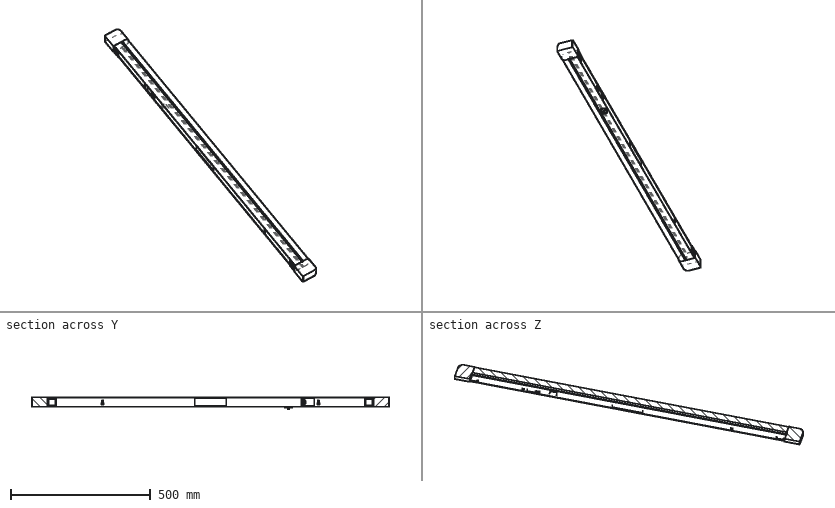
import cadquery as cq
import math

TOTAL_LENGTH = 1279.0
TOTAL_DEPTH = 67.0
TOTAL_HEIGHT = 42.0
BODY_HEIGHT = 35.0
TOP_Z = TOTAL_HEIGHT / 2
BOTTOM_Z = TOP_Z - BODY_HEIGHT
MID_Z = (TOP_Z + BOTTOM_Z) / 2
FRONT_Y = -TOTAL_DEPTH / 2
BACK_Y = TOTAL_DEPTH / 2

CAP_LENGTH = 56.0
CAP_ROUND = BODY_HEIGHT / 2
CAP_CORNER_RADIUS = 19.0
CAP_CHAMFER_X = 1.0
CAP_CHAMFER_Y = 4.0
CLIP_LENGTH = 31.0
CLIP_HEIGHT = 30.0
CLIP_RECESS = 0.6
CLIP_WINDOW_WIDTH = 23.0
CLIP_WINDOW_HEIGHT = 22.0

CAP_OVERHANG = 3.2
HOUSING_FRONT_Y = FRONT_Y + CAP_OVERHANG
HOUSING_BACK_Y = 1.9
HOUSING_WALL = 1.0
HOUSING_DEPTH = HOUSING_BACK_Y - HOUSING_FRONT_Y
HOUSING_MID_Y = (HOUSING_FRONT_Y + HOUSING_BACK_Y) / 2
SPAN = TOTAL_LENGTH - 2 * CAP_LENGTH

COVER_INSET = 1.5
COVER_ROUND = BODY_HEIGHT / 2
COVER_ROUND_Y = BACK_Y - COVER_INSET - COVER_ROUND
COVER_GROOVE = 4.0

KEYHOLE_X = 386.0
KEYHOLE_Z = -1.9
KEYHOLE_DIAMETER = 7.4
KEYHOLE_SLOT_WIDTH = 4.0
KEYHOLE_SLOT_TOP_Z = 9.6

ENTRY_X = -333.0
ENTRY_Z = 4.0
ENTRY_DIAMETER = 17.0
ENTRY_RIM_DIAMETER = 13.0
ENTRY_HOLE_DIAMETER = 6.5
ENTRY_FLANGE_HEIGHT = 1.0
ENTRY_HEIGHT = 3.2

SWITCH_X = -279.0
SWITCH_Y = -13.4
SWITCH_DIAMETER = 27.0
SWITCH_WIDTH = 18.0
SWITCH_FLANGE_HEIGHT = 4.0
NUB_DIAMETER = 6.0

PLATES = [(0.0, 113.0), (-348.0, 46.0)]
PLATE_HEIGHT = 27.0
PLATE_THICKNESS = 1.0


def box_between(x_range, y_range, z_range):
    """Box given by its lower and upper limits along each axis."""
    low, high = zip(x_range, y_range, z_range)
    size = [b - a for a, b in zip(low, high)]
    return cq.Workplane("XY").box(*size, centered=False).translate(low)


def d_profile(front_y, round_y, radius, x_start, length):
    """Bar along +X whose section is flat at the front and half-round at the back."""
    return (
        cq.Workplane("YZ", origin=(x_start, 0, MID_Z))
        .moveTo(front_y, -radius)
        .lineTo(round_y, -radius)
        .threePointArc((round_y + radius, 0), (round_y, radius))
        .lineTo(front_y, radius)
        .close()
        .extrude(length)
    )


def front_plane(y):
    """Sketch plane facing -Y, with X to the right and Z up."""
    return cq.Workplane("XZ", origin=(0, y, 0))


def keyhole_cutter(x):
    """Round hole with a narrow slot above it, through the front wall."""
    slot_half = KEYHOLE_SLOT_WIDTH / 2
    depth = (HOUSING_FRONT_Y, HOUSING_FRONT_Y + HOUSING_WALL)
    slot = box_between((x - slot_half, x + slot_half), depth, (KEYHOLE_Z, KEYHOLE_SLOT_TOP_Z))
    plane = front_plane(HOUSING_FRONT_Y).center(x, KEYHOLE_Z)
    hole = plane.circle(KEYHOLE_DIAMETER / 2).extrude(-HOUSING_WALL)
    return hole.union(slot)


def cable_entry():
    """Flange with a raised rim on the outside of the front wall."""
    plane = front_plane(HOUSING_FRONT_Y).center(ENTRY_X, ENTRY_Z)
    flange = plane.circle(ENTRY_DIAMETER / 2).extrude(ENTRY_FLANGE_HEIGHT)
    rim = plane.circle(ENTRY_RIM_DIAMETER / 2).extrude(ENTRY_HEIGHT)
    return flange.union(rim)


def entry_hole_cutter():
    """Hole through the cable entry and the wall behind it."""
    return (
        front_plane(HOUSING_FRONT_Y - ENTRY_HEIGHT)
        .center(ENTRY_X, ENTRY_Z)
        .circle(ENTRY_HOLE_DIAMETER / 2)
        .extrude(-(ENTRY_HEIGHT + HOUSING_WALL + PLATE_THICKNESS))
    )


def pull_switch():
    """Disc with flat sides and a nub, hanging from the bottom wall."""
    plane = cq.Workplane("XY", origin=(SWITCH_X, SWITCH_Y, BOTTOM_Z))
    disc = plane.circle(SWITCH_DIAMETER / 2).extrude(-SWITCH_FLANGE_HEIGHT)
    flats = plane.rect(SWITCH_DIAMETER, SWITCH_WIDTH).extrude(-SWITCH_FLANGE_HEIGHT)
    nub = plane.circle(NUB_DIAMETER / 2).extrude(-(TOTAL_HEIGHT - BODY_HEIGHT))
    return disc.intersect(flats).union(nub)


def make_housing():
    """Thin-walled rectangular tube with its fittings."""
    inner_front_y = HOUSING_FRONT_Y + HOUSING_WALL
    tube = (
        cq.Workplane("YZ", origin=(-SPAN / 2, HOUSING_MID_Y, MID_Z))
        .rect(HOUSING_DEPTH, BODY_HEIGHT)
        .rect(HOUSING_DEPTH - 2 * HOUSING_WALL, BODY_HEIGHT - 2 * HOUSING_WALL)
        .extrude(SPAN)
    )
    for x, length in PLATES:
        plate = cq.Workplane("XY").box(length, PLATE_THICKNESS, PLATE_HEIGHT)
        tube = tube.union(plate.translate((x, inner_front_y + PLATE_THICKNESS / 2, MID_Z)))
    tube = tube.union(cable_entry()).union(pull_switch()).cut(entry_hole_cutter())
    for x in (-KEYHOLE_X, KEYHOLE_X):
        tube = tube.cut(keyhole_cutter(x))
    return tube


def make_cover():
    """Half-round light cover with a groove along each edge of its flat side."""
    cover = d_profile(HOUSING_BACK_Y, COVER_ROUND_Y, COVER_ROUND, -SPAN / 2, SPAN)
    groove_y = (HOUSING_BACK_Y, HOUSING_BACK_Y + COVER_GROOVE)
    for z_range in ((TOP_Z - COVER_GROOVE, TOP_Z), (BOTTOM_Z, BOTTOM_Z + COVER_GROOVE)):
        cover = cover.cut(box_between((-SPAN / 2, SPAN / 2), groove_y, z_range))
    return cover


def make_left_cap():
    """End cap at -X, with the clip that reaches over the front of the housing."""
    end_x = -TOTAL_LENGTH / 2
    inner_x = end_x + CAP_LENGTH
    bar = d_profile(FRONT_Y, BACK_Y - CAP_ROUND, CAP_ROUND, end_x, CAP_LENGTH)
    mid_arc = CAP_CORNER_RADIUS * (1 - math.sqrt(0.5))
    outline = (
        cq.Workplane("XY", origin=(0, 0, BOTTOM_Z))
        .moveTo(inner_x, FRONT_Y)
        .lineTo(end_x + CAP_CHAMFER_X, FRONT_Y)
        .lineTo(end_x, FRONT_Y + CAP_CHAMFER_Y)
        .lineTo(end_x, BACK_Y - CAP_CORNER_RADIUS)
        .threePointArc((end_x + mid_arc, BACK_Y - mid_arc), (end_x + CAP_CORNER_RADIUS, BACK_Y))
        .lineTo(inner_x, BACK_Y)
        .close()
        .extrude(BODY_HEIGHT)
    )
    clip = (
        front_plane(HOUSING_FRONT_Y)
        .center(inner_x + CLIP_LENGTH / 2, MID_Z)
        .rect(CLIP_LENGTH, CLIP_HEIGHT)
        .rect(CLIP_WINDOW_WIDTH, CLIP_WINDOW_HEIGHT)
        .extrude(CAP_OVERHANG - CLIP_RECESS)
    )
    return bar.intersect(outline).union(clip)


housing = make_housing()
cover = make_cover()
left_cap = make_left_cap()
right_cap = left_cap.mirror("YZ")

result = cq.Compound.makeCompound([housing.val(), cover.val(), left_cap.val(), right_cap.val()])